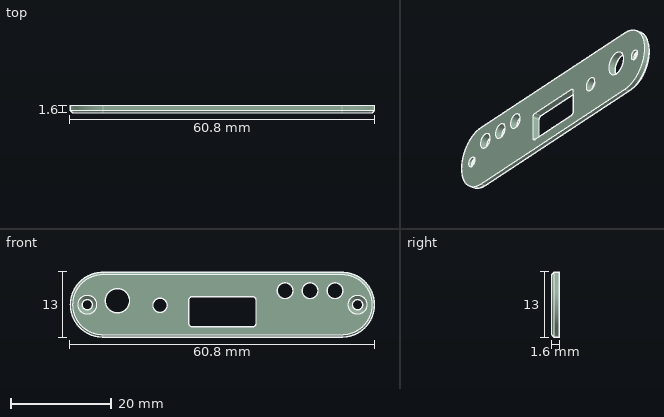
import cadquery as cq

length = 60.8
height = 13.0
thickness = 1.6
edge_chamfer = 0.5

screw_x = 27.0
screw_diameter = 2.0
countersink_diameter = 3.8
countersink_angle = 90.0

large_hole_diameter = 4.8
large_hole_center = (-21.0, 0.8)
small_hole_diameter = 2.8
small_hole_center = (-12.45, -0.1)

window_width = 13.4
window_height = 5.95
window_z = -1.4
window_corner_radius = 0.6

row_count = 3
row_diameter = 3.1
row_pitch = 5.0
row_start_x = 12.5
row_z = 2.8


def make_plate():
    """Plate with fully rounded ends and a chamfered front rim."""
    plate = cq.Workplane("XZ").slot2D(length, height).extrude(thickness)
    return plate.faces("<Y").edges().chamfer(edge_chamfer)


def front_plane(plate):
    """Sketch plane on the front face, centred on the plate."""
    return plate.faces("<Y").workplane(origin=(0, -thickness, 0))


def cut_round_holes(plate, centers, diameter):
    return front_plane(plate).pushPoints(centers).hole(diameter)


def cut_screw_holes(plate):
    centers = [(-screw_x, 0), (screw_x, 0)]
    return front_plane(plate).pushPoints(centers).cskHole(
        screw_diameter, countersink_diameter, countersink_angle
    )


def cut_window(plate):
    window = (
        cq.Workplane("XZ")
        .center(0, window_z)
        .rect(window_width, window_height)
        .extrude(thickness)
        .edges("|Y")
        .fillet(window_corner_radius)
    )
    return plate.cut(window)


row_centers = [(row_start_x + i * row_pitch, row_z) for i in range(row_count)]

result = make_plate()
result = cut_screw_holes(result)
result = cut_round_holes(result, [large_hole_center], large_hole_diameter)
result = cut_round_holes(result, [small_hole_center], small_hole_diameter)
result = cut_round_holes(result, row_centers, row_diameter)
result = cut_window(result)